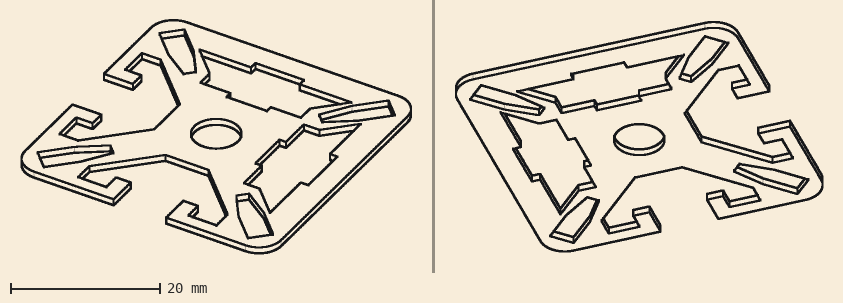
import cadquery as cq

side = 40.0
thickness = 1.0
corner_radius = 3.5
bore_diameter = 6.8
half_side = side / 2

mouth_width = 8.2
lip_outer_width = 12.8
lip_depth = 4.5
wall_thickness = 1.95
slot_width = 21.6
slot_shoulder_depth = 4.9
slot_depth = 12.3
slot_floor_width = slot_width - 2 * (slot_depth - slot_shoulder_depth)

pocket_inner_width = 15.7
pocket_inner = 9.0
pocket_flank_start = 11.45
pocket_outer = 15.5
pocket_outer_width = pocket_inner_width + 2 * (pocket_outer - pocket_flank_start)
inner_step_width = 6.3
inner_step = 8.0
outer_step_width = 7.6
outer_step = 16.65

window_outer = 24.3
window_taper_start = 19.2
window_inner = 14.45
window_width = 3.5
window_tip_width = 1.75


def symmetric_cutter(profile, angle):
    """Prism symmetric about a ray from the centre, from (distance, width) pairs along that ray."""
    upper = [(distance, width / 2) for distance, width in profile]
    lower = [(distance, -width / 2) for distance, width in reversed(profile)]
    prism = cq.Workplane("XY").polyline(upper + lower).close().extrude(thickness)
    return prism.rotate((0, 0, 0), (0, 0, 1), angle)


open_slot = [
    (half_side, mouth_width),
    (half_side - lip_depth, mouth_width),
    (half_side - lip_depth, lip_outer_width),
    (half_side - wall_thickness, lip_outer_width),
    (half_side - wall_thickness, slot_width),
    (half_side - slot_shoulder_depth, slot_width),
    (half_side - slot_depth, slot_floor_width),
]

closed_pocket = [
    (outer_step, outer_step_width),
    (pocket_outer, outer_step_width),
    (pocket_outer, pocket_outer_width),
    (pocket_flank_start, pocket_inner_width),
    (pocket_inner, pocket_inner_width),
    (pocket_inner, inner_step_width),
    (inner_step, inner_step_width),
]

corner_window = [
    (window_outer, window_width),
    (window_taper_start, window_width),
    (window_inner, window_tip_width),
]

plate = cq.Workplane("XY").box(side, side, thickness, centered=(True, True, False))
plate = plate.edges("|Z").fillet(corner_radius)
plate = plate.faces(">Z").workplane().hole(bore_diameter)

for angle in (0, 90):
    plate = plate.cut(symmetric_cutter(closed_pocket, angle))

for angle in (180, 270):
    plate = plate.cut(symmetric_cutter(open_slot, angle))

for angle in (45, 135, 225, 315):
    plate = plate.cut(symmetric_cutter(corner_window, angle))

result = plate